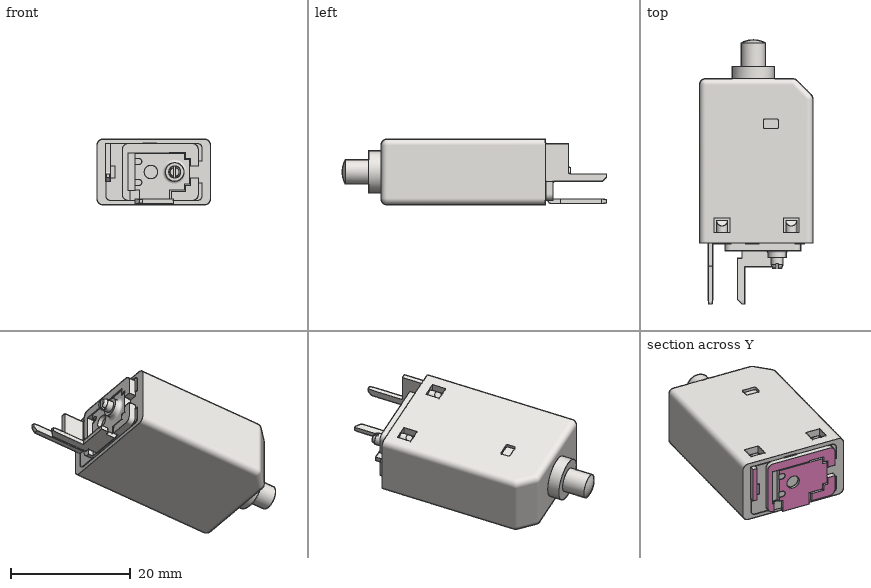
import cadquery as cq
import math


body_width = 19.0
body_length = 27.5
body_height = 11.0
edge_radius = 1.05
corner_cut = 3.0

button_x = -0.5
bushing_radius = 3.55
bushing_length = 2.05
bushing_seating = 1.0
button_radius = 2.05
button_end = 34.0
dome_height = 0.55

clip_window_width = 2.6
clip_window_length = 2.4
clip_window_start = 1.8
clip_window_xs = (-5.72, 5.85)
clip_window_depth = 1.3
clip_radius = 0.92
clip_length = 2.0
sight_window_x = 2.45
sight_window_y = 19.95
sight_window_width = 2.5
sight_window_length = 1.65
sight_window_radius = 0.3
sight_window_depth = 0.5

flange_left = -8.0
flange_right = 8.05
base_half_height = 4.75
flange_radius = 0.75
flange_height = 0.12
flange_gap_half = 1.8
lug_left = -1.8
lug_right = 0.5
lug_rise = 0.12
block_left = -5.25
block_right = 7.45
block_height = 1.3
block_radius = 1.0
block_notch_left = 6.0
block_notch_half = 1.0
side_notch_width = 0.8

sheet = 0.8
terminal_reach = 10.2
fork_corner = 3.85
tip_taper = 0.12

side_terminal_left = -8.05
side_terminal_bottom = -1.55
side_blade_top = -0.3
side_tip_cut = 0.65
side_taper_length = 0.85
side_corner_radius = 0.25

seat_floor = 0.4
seat_clearance = 0.2
snug_clearance = 0.08
side_slot_floor = 0.1
seat_left = -4.3
plate_left = -3.1
plate_right = 5.1
plate_half_height = 3.05
ear_right = 6.0
ear_half_height = 2.05
neck_left = -2.42
neck_right = 2.6
opening_left = -4.0
tab_top = -4.5
tab_right = 3.3
tab_front = 3.97
tab_corner_radius = 0.4
bend_radius = 0.6
blade_left = -3.15
blade_right = -1.9
tab_shoulder = 2.5
blade_tip_cut = 0.8
blade_taper_length = 0.6
plate_hole_x = -0.47
plate_hole_radius = 1.12
slot_z = 1.75
slot_half_width = 0.5
slot_length = 1.1
slot_depth = 0.4

screw_x = 3.5
collar_radius = 1.55
collar_flare = 0.5
collar_end = 2.4
stem_radius = 1.0
stem_shoulder = 3.6
screw_end = 4.2
screw_tip_radius = 0.75
driver_slot_width = 0.35
driver_slot_depth = 0.8


def box(x_range, y_range, z_range):
    """Axis-aligned box between the given limits."""
    sizes = [high - low for low, high in (x_range, y_range, z_range)]
    corner = (x_range[0], y_range[0], z_range[0])
    return cq.Workplane("XY").box(*sizes, centered=False).translate(corner)


def front_plane(distance):
    """Sketch plane in X and Z lying the given distance out from the housing end; extrudes outwards."""
    return cq.Workplane("XZ").workplane(offset=distance)


def make_housing():
    """Shell block with one cut corner, rounded everywhere but around its flat -Y end."""
    half = body_width / 2
    outline = [
        (-half, 0),
        (half, 0),
        (half, body_length - corner_cut),
        (half - corner_cut, body_length),
        (-half, body_length),
    ]
    housing = cq.Workplane("XY").polyline(outline).close().extrude(body_height)
    housing = housing.translate((0, 0, -body_height / 2))
    return housing.edges("not(#Y and <Y)").fillet(edge_radius)


def make_button():
    """Bushing and domed button turned about one axis along Y."""
    dome_start = button_end - dome_height
    sphere_radius = (button_radius**2 + dome_height**2) / (2 * dome_height)
    dome_half_x = button_radius / 2
    dome_half_y = button_end - sphere_radius + math.sqrt(sphere_radius**2 - dome_half_x**2)
    bushing_end = body_length + bushing_length
    profile = (
        cq.Workplane("XY")
        .moveTo(0, body_length - bushing_seating)
        .lineTo(bushing_radius, body_length - bushing_seating)
        .lineTo(bushing_radius, bushing_end)
        .lineTo(button_radius, bushing_end)
        .lineTo(button_radius, dome_start)
        .threePointArc((dome_half_x, dome_half_y), (0, button_end))
        .close()
    )
    return profile.revolve(360, (0, 0, 0), (0, 1, 0)).translate((button_x, 0, 0))


def cut_clip_window(housing, x):
    """Rectangular window with a half-round snap clip on its floor, sloped at 45 degrees on its +Y end."""
    top = body_height / 2
    half = clip_window_width / 2
    window_end = clip_window_start + clip_window_length
    floor = top - clip_window_depth
    window = box((x - half, x + half), (clip_window_start, window_end), (floor, top))
    clip_end = clip_window_start + clip_length
    side_profile = [
        (clip_window_start, floor),
        (clip_end, floor),
        (clip_end - clip_radius, floor + clip_radius),
        (clip_window_start, floor + clip_radius),
    ]
    wedge = cq.Workplane("YZ").workplane(offset=x - half)
    wedge = wedge.polyline(side_profile).close().extrude(clip_window_width)
    rod = front_plane(-clip_end).center(x, floor).circle(clip_radius).extrude(clip_length)
    return housing.cut(window).union(rod.intersect(wedge))


def cut_sight_window(housing):
    """Shallow window with rounded corners near the button end."""
    window = (
        cq.Workplane("XY")
        .workplane(offset=body_height / 2 - sight_window_depth)
        .center(sight_window_x, sight_window_y)
        .rect(sight_window_width, sight_window_length)
        .extrude(sight_window_depth)
        .edges("|Z")
        .fillet(sight_window_radius)
    )
    return housing.cut(window)


def rounded_slab(left, right, height, radius):
    """Slab standing out from the housing end, rounded at its four corners."""
    width = right - left
    slab = front_plane(0).center((left + right) / 2, 0).rect(width, 2 * base_half_height).extrude(height)
    return slab.edges("|Y").fillet(radius)


def make_base():
    """Flange and raised block, notched on the right, with a small lug on the upper edge."""
    flange = rounded_slab(flange_left, flange_right, flange_height, flange_radius)
    flange_gap = box((block_right, flange_right), (-flange_height, 0), (-flange_gap_half, flange_gap_half))
    inner_face = side_terminal_left + sheet
    side_notch = box(
        (inner_face, inner_face + side_notch_width),
        (-flange_height, 0),
        (-block_notch_half, block_notch_half),
    )
    lug = box((lug_left, lug_right), (-flange_height, 0), (base_half_height, base_half_height + lug_rise))
    block = rounded_slab(block_left, block_right, block_height, block_radius)
    block_notch = box(
        (block_notch_left, block_right),
        (-block_height, 0),
        (-block_notch_half, block_notch_half),
    )
    return flange.cut(flange_gap).cut(side_notch).union(lug).union(block).cut(block_notch)


def seated_outline(left, gap):
    """Outline of the terminal plate above its neck, grown by a gap on the top, right and bottom."""
    right = plate_right + gap
    top = plate_half_height + gap
    ear_top = ear_half_height + gap
    ear = ear_right + gap / 2
    return [
        (left, -top),
        (right, -top),
        (right, -ear_top),
        (ear, -ear_top),
        (ear, ear_top),
        (right, ear_top),
        (right, top),
        (left, top),
    ]


def make_seat():
    """Pocket in the block for the terminal plate, with a deeper left slot and an opening for the tab."""
    depth = block_height - seat_floor
    loose_outline = seated_outline(neck_right, seat_clearance)
    loose_part = front_plane(seat_floor).polyline(loose_outline).close().extrude(depth)
    snug_half = plate_half_height + snug_clearance
    snug_part = box((plate_left, neck_right), (-block_height, -seat_floor), (-snug_half, snug_half))
    side_slot = box((seat_left, plate_left), (-block_height, -side_slot_floor), (-snug_half, snug_half))
    opening = box(
        (opening_left, neck_right + 2 * seat_clearance),
        (-block_height, -seat_floor),
        (-base_half_height, -plate_half_height),
    )
    return loose_part.union(snug_part).union(side_slot).union(opening)


def make_seated_plate():
    """Terminal plate with its clearance hole and two shallow round-ended edge recesses."""
    plate = front_plane(seat_floor).polyline(seated_outline(plate_left, 0)).close().extrude(sheet)
    hole = front_plane(seat_floor).center(plate_hole_x, 0).circle(plate_hole_radius).extrude(sheet)
    plate = plate.cut(hole)
    for z in (-slot_z, slot_z):
        slot = front_plane(seat_floor + sheet - slot_depth).center(plate_left, z)
        slot = slot.slot2D(2 * slot_length, 2 * slot_half_width).extrude(slot_depth)
        plate = plate.cut(slot)
    return plate


def make_bent_tab():
    """Neck bent outwards under the plate, ending in a tab and a blade."""
    tab_bottom = tab_top - sheet
    plate_face = seat_floor + sheet
    neck = box(
        (neck_left, neck_right),
        (-plate_face, -seat_floor),
        (tab_bottom, -plate_half_height),
    )
    neck = neck.edges("|X and >Y and <Z").fillet(bend_radius)
    tab_outline = [
        (neck_left, -plate_face),
        (neck_left, -tab_shoulder),
        (blade_left, -tab_shoulder),
        (blade_left, blade_tip_cut - terminal_reach),
        (blade_left + blade_tip_cut, -terminal_reach),
        (blade_right, -terminal_reach),
        (blade_right, -tab_front),
        (tab_right, -tab_front),
        (tab_right, -tab_shoulder),
        (neck_right, -tab_shoulder),
        (neck_right, -plate_face),
    ]
    tab = cq.Workplane("XY").workplane(offset=tab_bottom).polyline(tab_outline).close().extrude(sheet)
    tab = tab.faces("<Y").edges("|X").chamfer(tip_taper, blade_taper_length)
    tab = tab.faces(">X").edges("|Z and >Y").fillet(tab_corner_radius)
    return neck.union(tab)


def make_side_terminal():
    """Upright sheet terminal with a blade along its lower edge."""
    outline = [
        (0, base_half_height),
        (-fork_corner, base_half_height),
        (-fork_corner, side_blade_top),
        (-terminal_reach, side_blade_top),
        (-terminal_reach, side_terminal_bottom + side_tip_cut),
        (side_tip_cut - terminal_reach, side_terminal_bottom),
        (0, side_terminal_bottom),
    ]
    terminal = cq.Workplane("YZ").workplane(offset=side_terminal_left)
    terminal = terminal.polyline(outline).close().extrude(sheet)
    inner_corner = cq.selectors.NearestToPointSelector((side_terminal_left, -fork_corner, side_blade_top))
    terminal = terminal.edges("|X").edges(inner_corner).fillet(side_corner_radius)
    right = side_terminal_left + sheet
    plan_outline = [
        (side_terminal_left, 0),
        (side_terminal_left, side_taper_length - terminal_reach),
        (side_terminal_left + tip_taper, -terminal_reach),
        (right - tip_taper, -terminal_reach),
        (right, side_taper_length - terminal_reach),
        (right, 0),
    ]
    plan = cq.Workplane("XY").polyline(plan_outline).close().extrude(body_height / 2, both=True)
    return terminal.intersect(plan)


def make_screw():
    """Flared collar and slotted stem turned about one axis along Y."""
    plate_face = seat_floor + sheet
    flare_end = plate_face + collar_flare
    flare_middle = collar_flare * (1 - math.sqrt(0.5))
    profile = (
        cq.Workplane("XY")
        .moveTo(0, -seat_floor)
        .lineTo(collar_radius + collar_flare, -seat_floor)
        .lineTo(collar_radius + collar_flare, -plate_face)
        .threePointArc(
            (collar_radius + flare_middle, -plate_face - flare_middle),
            (collar_radius, -flare_end),
        )
        .lineTo(collar_radius, -collar_end)
        .lineTo(stem_radius, -collar_end)
        .lineTo(stem_radius, -stem_shoulder)
        .lineTo(screw_tip_radius, -screw_end)
        .lineTo(0, -screw_end)
        .close()
    )
    screw = profile.revolve(360, (0, 0, 0), (0, 1, 0))
    slot_half = driver_slot_width / 2
    slot = box(
        (-slot_half, slot_half),
        (-screw_end, driver_slot_depth - screw_end),
        (-stem_radius, stem_radius),
    )
    return screw.cut(slot).translate((screw_x, 0, 0))


housing = make_housing()
for window_x in clip_window_xs:
    housing = cut_clip_window(housing, window_x)
housing = cut_sight_window(housing)

base = make_base().cut(make_seat())
result = housing.union(make_button()).union(base)
for metal_part in (make_seated_plate(), make_bent_tab(), make_side_terminal(), make_screw()):
    result = result.union(metal_part)